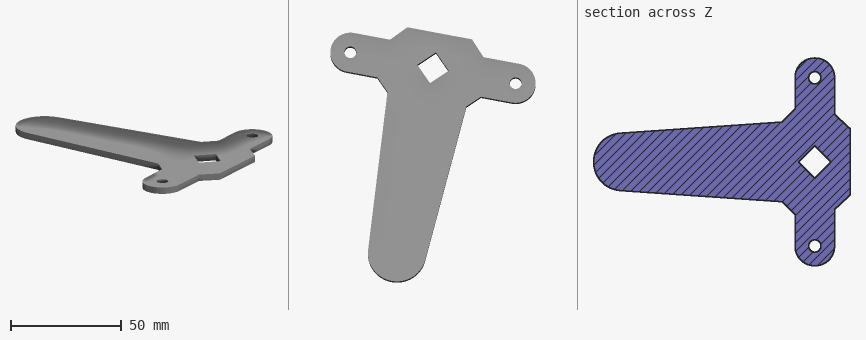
import cadquery as cq
import math

length = 116.0
thickness = 3.0
front_edge_x = 16.1
front_edge_half = 14.8

ear_radius = 9.0
ear_center_y = 37.9
ear_hole_diameter = 5.3
ear_front_root_y = 21.5
ear_arm_root_y = 23.8

arm_root_x = -14.7
arm_root_half = 18.1
tip_radius = 13.1
tip_x = front_edge_x - length
tip_center_x = tip_x + tip_radius

square_diagonal = 14.4
square_side = square_diagonal / math.sqrt(2)

root_distance = math.hypot(arm_root_x - tip_center_x, arm_root_half)
root_angle = math.atan2(arm_root_half, arm_root_x - tip_center_x)
tangent_angle = root_angle + math.acos(tip_radius / root_distance)
tangent_x = tip_center_x + tip_radius * math.cos(tangent_angle)
tangent_y = tip_radius * math.sin(tangent_angle)

ear_end_y = ear_center_y + ear_radius

plate = (
    cq.Workplane("XY")
    .moveTo(front_edge_x, -front_edge_half)
    .lineTo(front_edge_x, front_edge_half)
    .lineTo(ear_radius, ear_front_root_y)
    .lineTo(ear_radius, ear_center_y)
    .threePointArc((0, ear_end_y), (-ear_radius, ear_center_y))
    .lineTo(-ear_radius, ear_arm_root_y)
    .lineTo(arm_root_x, arm_root_half)
    .lineTo(tangent_x, tangent_y)
    .threePointArc((tip_x, 0), (tangent_x, -tangent_y))
    .lineTo(arm_root_x, -arm_root_half)
    .lineTo(-ear_radius, -ear_arm_root_y)
    .lineTo(-ear_radius, -ear_center_y)
    .threePointArc((0, -ear_end_y), (ear_radius, -ear_center_y))
    .lineTo(ear_radius, -ear_front_root_y)
    .close()
    .extrude(thickness)
)

ear_holes = (
    cq.Workplane("XY")
    .pushPoints([(0, ear_center_y), (0, -ear_center_y)])
    .circle(ear_hole_diameter / 2)
    .extrude(thickness)
)

square_hole = (
    cq.Workplane("XY")
    .transformed(rotate=(0, 0, 45))
    .rect(square_side, square_side)
    .extrude(thickness)
)

result = plate.cut(ear_holes).cut(square_hole)